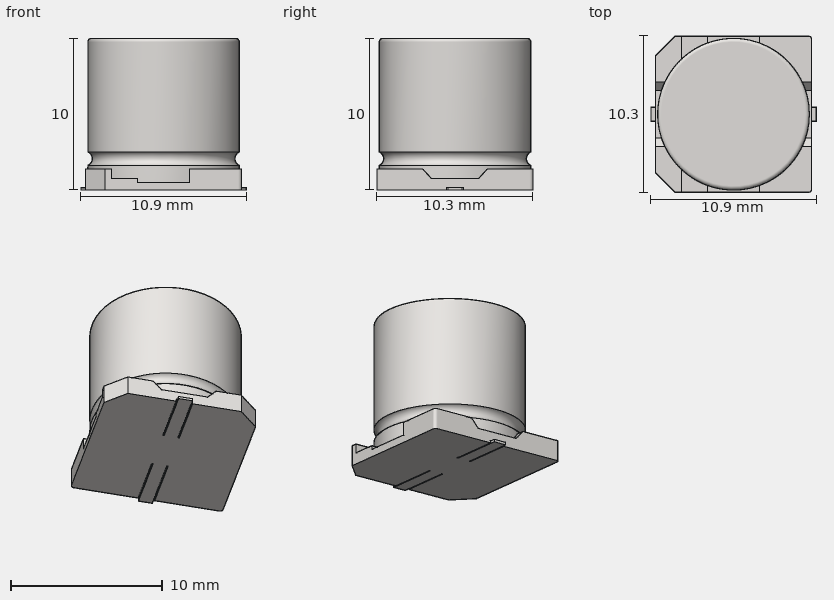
import cadquery as cq

lead_span = 10.9
base_side = 10.3
total_height = 10.01
can_diameter = 10.0

base_height = 1.41
corner_chamfer = 1.3
corner_radius = 0.22
cut_margin = 0.11

deep_notch_width = 3.4
deep_notch_floor = 0.52
shallow_notch_reach = 3.42
shallow_notch_floor = 0.78

side_notch_top_width = 4.27
side_notch_floor_width = 3.14

lead_width = 0.95
lead_thickness = 0.17
lead_slot_width = 1.1
lead_gap = 3.05

can_radius = can_diameter / 2
top_edge_radius = 0.25
groove_bottom = 1.64
groove_top = 2.52
groove_floor_radius = 4.71


def make_base():
    """Square plate with two chamfered corners, two rounded corners and edge notches."""
    base = cq.Workplane("XY").box(base_side, base_side, base_height, centered=(True, True, False))
    base = base.edges("|Z and <X").chamfer(corner_chamfer)
    base = base.edges("|Z and >X").fillet(corner_radius)

    half_side = base_side / 2
    half_deep = deep_notch_width / 2
    cut_top = base_height + cut_margin
    stepped_notch = (
        cq.Workplane("XZ")
        .moveTo(half_deep, cut_top)
        .lineTo(half_deep, deep_notch_floor)
        .lineTo(-half_deep, deep_notch_floor)
        .lineTo(-half_deep, shallow_notch_floor)
        .lineTo(-shallow_notch_reach, shallow_notch_floor)
        .lineTo(-shallow_notch_reach, cut_top)
        .close()
        .extrude(half_side + cut_margin, both=True)
    )
    tapered_notch = (
        cq.Workplane("YZ")
        .moveTo(-side_notch_floor_width / 2, shallow_notch_floor)
        .lineTo(side_notch_floor_width / 2, shallow_notch_floor)
        .lineTo(side_notch_top_width / 2, base_height)
        .lineTo(-side_notch_top_width / 2, base_height)
        .close()
        .extrude(half_side + cut_margin, both=True)
    )
    return base.cut(stepped_notch).cut(tapered_notch)


def make_can():
    """Revolved can with a crimp groove near its foot and a rounded top edge."""
    groove_middle = (groove_bottom + groove_top) / 2
    profile = (
        cq.Workplane("XZ")
        .moveTo(0, deep_notch_floor)
        .lineTo(can_radius, deep_notch_floor)
        .lineTo(can_radius, groove_bottom)
        .threePointArc((groove_floor_radius, groove_middle), (can_radius, groove_top))
        .lineTo(can_radius, total_height)
        .lineTo(0, total_height)
        .close()
    )
    can = profile.revolve(360, (0, 0, 0), (0, 1, 0))
    return can.faces(">Z").edges().fillet(top_edge_radius)


def make_end_strips(width):
    """Pair of flat strips along X at the underside, ending at a gap in the middle."""
    strip_length = (lead_span - lead_gap) / 2
    strip_center = (lead_span + lead_gap) / 4
    return (
        cq.Workplane("XY")
        .pushPoints([(-strip_center, 0), (strip_center, 0)])
        .rect(strip_length, width)
        .extrude(lead_thickness)
    )


lead_slots = make_end_strips(lead_slot_width)
leads = make_end_strips(lead_width)
result = make_base().cut(lead_slots).union(leads).union(make_can())